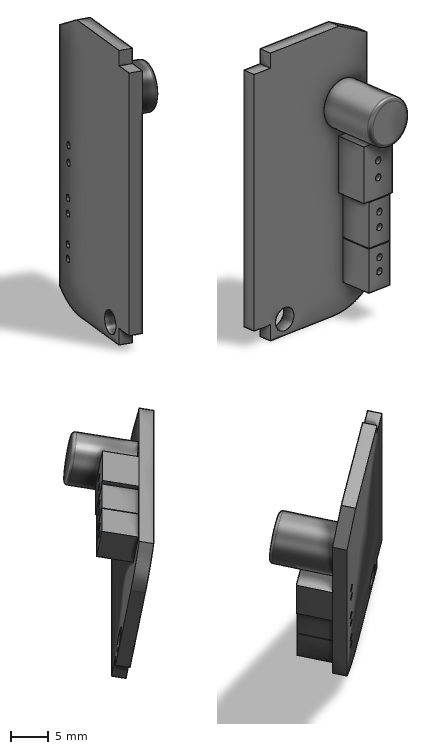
import cadquery as cq
import math

board_width = 21.05
board_height = 42.55
board_thickness = 2.0
chamfer_width = 5.2
chamfer_height = 2.5
notch_width = 3.02
top_notch_height = 2.2
bottom_notch_height = 2.4
corner_radius = 10.0
corner_height = 2.3

mount_hole_diameter = 3.4
mount_hole_x = 15.33
mount_hole_z = bottom_notch_height

overall_depth = 11.0
post_diameter = 7.3
post_x = 4.35
post_z = 30.9
post_edge_radius = 0.5

block_depth = 5.02
pin_hole_diameter = 1.0
connectors = [
    {"left": 0.05, "pin_x": 2.7, "bottom": 17.95, "top": 26.35, "pin_z": (21.05, 23.55)},
    {"left": 0.5, "pin_x": 2.45, "bottom": 11.05, "top": 17.85, "pin_z": (13.62, 15.88)},
    {"left": 0.5, "pin_x": 2.45, "bottom": 4.43, "top": 10.95, "pin_z": (7.05, 9.15)},
]


def cylinder_along_y(diameter, x, z, length):
    """Cylinder from the front face of the board toward +Y."""
    return cq.Workplane("XZ").center(x, z).circle(diameter / 2).extrude(-length)


def make_board():
    corner_width = math.sqrt(corner_radius**2 - (corner_radius - corner_height) ** 2)
    notch_x = board_width - notch_width
    top_ledge_z = board_height - top_notch_height
    return (
        cq.Workplane("XZ")
        .moveTo(corner_width, 0)
        .lineTo(notch_x, 0)
        .lineTo(notch_x, bottom_notch_height)
        .lineTo(board_width, bottom_notch_height)
        .lineTo(board_width, top_ledge_z)
        .lineTo(notch_x, top_ledge_z)
        .lineTo(notch_x, board_height)
        .lineTo(chamfer_width, board_height)
        .lineTo(0, board_height - chamfer_height)
        .lineTo(0, corner_height)
        .radiusArc((corner_width, 0), -corner_radius)
        .close()
        .extrude(-board_thickness)
    )


def make_post():
    post = cylinder_along_y(post_diameter, post_x, post_z, overall_depth)
    return post.faces(">Y").edges().fillet(post_edge_radius)


def make_block(connector):
    width = 2 * (connector["pin_x"] - connector["left"])
    height = connector["top"] - connector["bottom"]
    block = cq.Workplane("XY").box(width, board_thickness + block_depth, height, centered=False)
    return block.translate((connector["left"], 0, connector["bottom"]))


result = make_board().union(make_post())
for connector in connectors:
    result = result.union(make_block(connector))

for connector in connectors:
    for pin_z in connector["pin_z"]:
        result = result.cut(cylinder_along_y(pin_hole_diameter, connector["pin_x"], pin_z, overall_depth))

result = result.cut(cylinder_along_y(mount_hole_diameter, mount_hole_x, mount_hole_z, overall_depth))